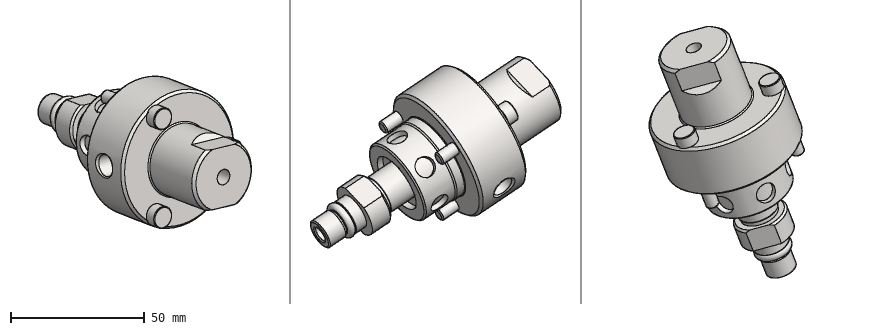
import cadquery as cq
import math

overall_length = 105.6

bore_dia = 6.0
bore_mouth_chamfer = 0.5

nose_dia = 12.0
nose_chamfer_length = 0.4
nose_chamfer_height = 0.6
nose_taper_start_x = 7.8
nose_taper_end_dia = 10.8
spigot_dia = 14.3
spigot_chamfer = 0.3

bead_outer_dia = 15.0
bead_center_dia = 12.5
bead_width = 3.2
bead_center_x = 10.3
spigot_start_x = 11.8

head_start_x = 16.9
head_end_x = 26.4
head_dia = 21.3
head_chamfer = 0.8
head_flat_height = 9.1
neck_dia = 15.0
neck_end_x = 28.2
shaft_dia = 15.8

collar_start_x = 37.1
collar_dia = 34.1
collar_chamfer = 0.6
collar_step_start_x = 51.5
collar_step_end_x = 52.3
collar_step_dia = 34.7
recess_dia = 23.4
recess_depth = 2.6

collar_hole_count = 6
collar_hole_dia = 8.0
collar_hole_x = 44.0
collar_hole_floor_dia = 29.6

pin_dia = 2.3
pin_offset = 10.3
pin_length = 1.6
pin_chamfer = 0.3

flange_start_x = 56.1
flange_end_x = 78.4
flange_dia = 54.0
flange_chamfer = 1.1
flange_root_chamfer = 0.3

port_mouth_dia = 10.3
port_dia = 8.5
port_end_dia = 8.0
port_depth = 8.4
port_tip_angle = 118.0

shank_dia = 28.5
shank_chamfer = 1.2
shank_root_chamfer = 0.5
shank_flat_height = 11.9
shank_flat_start_x = 96.1

screw_count = 3
screw_circle_dia = 45.0
screw_dia = 5.2
screw_tip_x = 48.1
screw_tip_chamfer = 0.5
screw_head_dia = 8.5
screw_head_end_x = 83.2
screw_head_chamfer = 0.3

recess_floor_x = collar_start_x + recess_depth
port_x = (flange_start_x + flange_end_x) / 2


def turned(points):
    """Solid of revolution about X from a closed outline of (x, radius) points."""
    return cq.Workplane("XY").polyline(points).close().revolve(360, (0, 0, 0), (1, 0, 0))


def rod(start_x, end_x, dia, y=0.0, z=0.0):
    """Cylinder parallel to X."""
    return cq.Workplane("YZ", origin=(start_x, y, z)).circle(dia / 2).extrude(end_x - start_x)


def seal_bead():
    center_radius = bead_center_dia / 2
    bead_height = (bead_outer_dia - bead_center_dia) / 2
    return (
        cq.Workplane("XY")
        .center(bead_center_x, center_radius)
        .ellipse(bead_width / 2, bead_height)
        .revolve(360, (0, -center_radius, 0), (1, -center_radius, 0))
    )


def turned_nose():
    nose_radius = nose_dia / 2
    spigot_radius = spigot_dia / 2
    return turned([
        (0, 0),
        (0, nose_radius - nose_chamfer_height),
        (nose_chamfer_length, nose_radius),
        (nose_taper_start_x, nose_radius),
        (bead_center_x - bead_width / 2, nose_taper_end_dia / 2),
        (bead_center_x, nose_taper_end_dia / 2),
        (bead_center_x, bead_center_dia / 2),
        (spigot_start_x, bead_center_dia / 2),
        (spigot_start_x, spigot_radius - spigot_chamfer),
        (spigot_start_x + spigot_chamfer, spigot_radius),
        (head_start_x, spigot_radius),
        (head_start_x, 0),
    ])


def wrench_head():
    head_radius = head_dia / 2
    head = turned([
        (head_start_x, 0),
        (head_start_x, head_radius),
        (head_end_x - head_chamfer, head_radius),
        (head_end_x, head_radius - head_chamfer),
        (head_end_x, 0),
    ])
    between_flats = (
        cq.Workplane("YZ", origin=(head_start_x, 0, 0))
        .rect(head_dia, 2 * head_flat_height)
        .extrude(head_end_x - head_start_x)
    )
    return head.intersect(between_flats)


def rotor_bore():
    mouth_radius = bore_dia / 2 + bore_mouth_chamfer
    return turned([
        (0, 0),
        (0, mouth_radius),
        (bore_mouth_chamfer, bore_dia / 2),
        (recess_floor_x, bore_dia / 2),
        (recess_floor_x, 0),
    ])


def make_rotor():
    """Rotor whose shaft ends flush against the recess floor of the housing."""
    body = turned_nose().union(seal_bead()).union(wrench_head())
    body = body.union(rod(head_end_x, neck_end_x, neck_dia))
    body = body.union(rod(neck_end_x, recess_floor_x, shaft_dia))
    return body.cut(rotor_bore())


def collar():
    radius = collar_dia / 2
    step_radius = collar_step_dia / 2
    body = turned([
        (collar_start_x, 0),
        (collar_start_x, radius - collar_chamfer),
        (collar_start_x + collar_chamfer, radius),
        (collar_step_start_x, radius),
        (collar_step_end_x, step_radius),
        (flange_start_x - flange_root_chamfer, step_radius),
        (flange_start_x, step_radius + flange_root_chamfer),
        (flange_start_x, 0),
    ])
    core = rod(collar_start_x, flange_start_x, collar_hole_floor_dia)
    for index in range(collar_hole_count):
        drill = (
            cq.Workplane("XY", origin=(collar_hole_x, 0, 0))
            .circle(collar_hole_dia / 2)
            .extrude(collar_dia)
            .rotate((0, 0, 0), (1, 0, 0), 90 + index * 360 / collar_hole_count)
        )
        body = body.cut(drill.cut(core))
    return body.cut(rod(collar_start_x, recess_floor_x, recess_dia))


def stop_pin(z):
    pin = rod(recess_floor_x - pin_length, recess_floor_x, pin_dia, z=z)
    return pin.faces("<X").chamfer(pin_chamfer)


def flange():
    body = rod(flange_start_x, flange_end_x, flange_dia).edges().chamfer(flange_chamfer)
    return body.cut(radial_port())


def radial_port():
    """Port cut into the -Y side of the flange."""
    surface_y = -flange_dia / 2
    floor_y = surface_y + port_depth
    countersink_depth = (port_mouth_dia - port_dia) / 2
    tip_depth = port_end_dia / 2 / math.tan(math.radians(port_tip_angle / 2))
    return (
        cq.Workplane("XY", origin=(port_x, 0, 0))
        .polyline([
            (0, surface_y),
            (port_mouth_dia / 2, surface_y),
            (port_dia / 2, surface_y + countersink_depth),
            (port_end_dia / 2, floor_y),
            (0, floor_y + tip_depth),
        ])
        .close()
        .revolve(360, (0, 0, 0), (0, 1, 0))
    )


def shank():
    radius = shank_dia / 2
    body = turned([
        (flange_end_x, 0),
        (flange_end_x, radius + shank_root_chamfer),
        (flange_end_x + shank_root_chamfer, radius),
        (overall_length - shank_chamfer, radius),
        (overall_length, radius - shank_chamfer),
        (overall_length, 0),
    ])
    runout = radius - shank_flat_height
    flat_cutter = (
        cq.Workplane("XZ")
        .polyline([
            (shank_flat_start_x, shank_flat_height),
            (overall_length, shank_flat_height),
            (overall_length, radius),
            (shank_flat_start_x - runout, radius),
        ])
        .close()
        .extrude(radius, both=True)
    )
    return body.cut(flat_cutter).cut(flat_cutter.mirror("XY"))


def screw(angle):
    y = screw_circle_dia / 2 * math.cos(angle)
    z = screw_circle_dia / 2 * math.sin(angle)
    stem = rod(screw_tip_x, flange_end_x, screw_dia, y, z).faces("<X").chamfer(screw_tip_chamfer)
    head = rod(flange_end_x, screw_head_end_x, screw_head_dia, y, z).faces(">X").chamfer(screw_head_chamfer)
    return stem.union(head)


def make_housing():
    body = flange().union(collar()).union(shank())
    for z in (pin_offset, -pin_offset):
        body = body.union(stop_pin(z))
    for index in range(screw_count):
        body = body.union(screw(2 * math.pi * index / screw_count))
    return body.cut(rod(recess_floor_x, overall_length, bore_dia))


rotor = make_rotor()
housing = make_housing()
result = cq.Compound.makeCompound([rotor.solids().val(), housing.solids().val()])